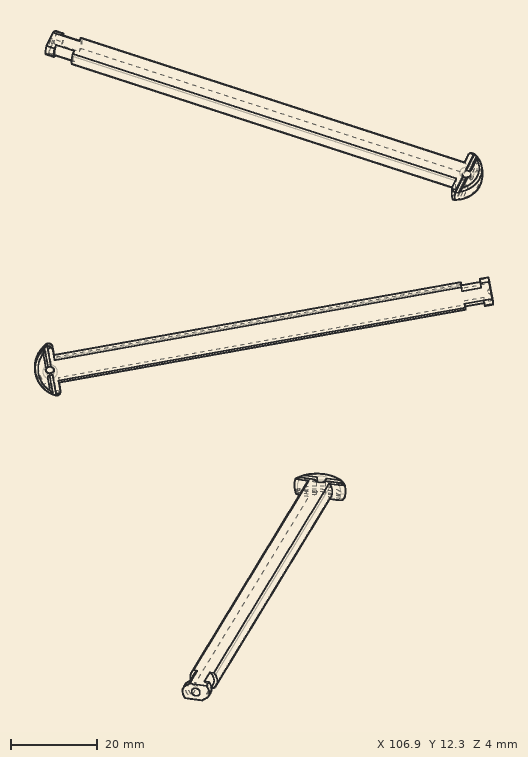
import cadquery as cq
import math

LENGTH = 106.88
THICKNESS = 4.0
HALF_THICKNESS = THICKNESS / 2

SHANK_HALF_WIDTH = 3.25
SHANK_FLAT_EDGE = 2.43
SHANK_BEVEL = 0.37
NECK_RADIUS = 2.5
LUG_LENGTH = 2.0
NECK_END = 6.5

LUG_RADIUS = SHANK_HALF_WIDTH
LUG_CREASE_Z = 0.12
LUG_SLOPE_EDGE = 2.9

HEAD_START = 101.85
HEAD_RADIUS = 12.25 / 2
CUTTER_WIDTH = 4 * HEAD_RADIUS
BASE_FILLET = 0.9
CROWN_CHAMFER = 0.5

GROOVE_START = 102.95
GROOVE_END = 104.15
GROOVE_FLOOR_END = 103.65
GROOVE_DEPTH = 0.6

HOLE_DIAMETER = 2.0
MOUTH_ROUND = 0.65
HOLE_X = 103.4
CENTRE_DIAMETER = 2.0
CENTRE_DEPTH = CENTRE_DIAMETER / 2


def flat_slab(start, end):
    """Slab between the two flats, wide enough to cover the head."""
    slab = cq.Workplane("XY").box(end - start, CUTTER_WIDTH, THICKNESS, centered=(False, True, True))
    return slab.translate((start, 0, 0))


def flatted_bar(radius, start, end):
    """Round bar along X, trimmed by the two flats."""
    bar = cq.Workplane("YZ").workplane(offset=start).circle(radius).extrude(end - start)
    return bar.intersect(flat_slab(start, end))


def shank():
    """Flat bar with round sides, bevelled where the sides meet the flats."""
    bevel_y = SHANK_FLAT_EDGE + SHANK_BEVEL
    bevel_z = HALF_THICKNESS - SHANK_BEVEL
    profile = (
        cq.Workplane("YZ")
        .workplane(offset=NECK_END)
        .moveTo(-SHANK_FLAT_EDGE, HALF_THICKNESS)
        .lineTo(SHANK_FLAT_EDGE, HALF_THICKNESS)
        .lineTo(bevel_y, bevel_z)
        .threePointArc((SHANK_HALF_WIDTH, 0), (bevel_y, -bevel_z))
        .lineTo(SHANK_FLAT_EDGE, -HALF_THICKNESS)
        .lineTo(-SHANK_FLAT_EDGE, -HALF_THICKNESS)
        .lineTo(-bevel_y, -bevel_z)
        .threePointArc((-SHANK_HALF_WIDTH, 0), (-bevel_y, bevel_z))
        .close()
    )
    return profile.extrude(HEAD_START - NECK_END)


def lug():
    """Lug whose outline repeats after half a turn about X.

    Each side runs down a slope tangent to the neck, along a short flat and then round an arc.
    """
    tangent_y = math.sqrt(NECK_RADIUS**2 - HALF_THICKNESS**2)
    slope_end_z = HALF_THICKNESS - (LUG_SLOPE_EDGE - tangent_y) * tangent_y / HALF_THICKNESS
    crease_angle = math.asin(LUG_CREASE_Z / LUG_RADIUS)
    flat_angle = math.asin(HALF_THICKNESS / LUG_RADIUS)

    def arc_point(angle, side):
        return (side * LUG_RADIUS * math.cos(angle), -side * LUG_RADIUS * math.sin(angle))

    profile = cq.Workplane("YZ").moveTo(*arc_point(flat_angle, -1))
    for side in (1, -1):
        profile = (
            profile.lineTo(side * tangent_y, side * HALF_THICKNESS)
            .lineTo(side * LUG_SLOPE_EDGE, side * slope_end_z)
            .lineTo(*arc_point(-crease_angle, side))
            .threePointArc(arc_point((flat_angle - crease_angle) / 2, side), arc_point(flat_angle, side))
        )
    return profile.close().extrude(LUG_LENGTH)


def head():
    """Domed disc turned about X and trimmed by the two flats."""
    dome_height = LENGTH - GROOVE_START
    dome_radius = (HEAD_RADIUS**2 + dome_height**2) / (2 * dome_height)
    middle_angle = math.asin(HEAD_RADIUS / dome_radius) / 2
    dome_middle = (
        LENGTH - dome_radius * (1 - math.cos(middle_angle)),
        dome_radius * math.sin(middle_angle),
    )
    disc = (
        cq.Workplane("XY")
        .moveTo(HEAD_START, 0)
        .lineTo(HEAD_START, HEAD_RADIUS - BASE_FILLET)
        .radiusArc((HEAD_START + BASE_FILLET, HEAD_RADIUS), BASE_FILLET)
        .lineTo(GROOVE_START, HEAD_RADIUS)
        .threePointArc(dome_middle, (LENGTH, 0))
        .close()
        .revolve(360, (0, 0, 0), (1, 0, 0))
    )
    trimmed = disc.intersect(flat_slab(HEAD_START, LENGTH))
    crown_edges = cq.selectors.BoxSelector(
        (GROOVE_END, -HEAD_RADIUS, -THICKNESS),
        (LENGTH, HEAD_RADIUS, THICKNESS),
    )
    return trimmed.faces("|Z").edges(crown_edges).chamfer(CROWN_CHAMFER)


def cross_grooves():
    """Straight grooves across the top and bottom flats of the head."""
    floor_z = HALF_THICKNESS - GROOVE_DEPTH
    outline = [
        (GROOVE_START, HALF_THICKNESS),
        (GROOVE_START, floor_z),
        (GROOVE_FLOOR_END, floor_z),
        (GROOVE_END, HALF_THICKNESS),
    ]
    top = cq.Workplane("XZ").polyline(outline).close().extrude(CUTTER_WIDTH, both=True)
    return top.union(top.mirror("XY"))


def cross_hole():
    """Hole through the head from flat to flat, with rounded mouths."""
    hole_radius = HOLE_DIAMETER / 2
    mouth_radius = hole_radius + MOUTH_ROUND
    neck_z = HALF_THICKNESS - MOUTH_ROUND
    cutter = (
        cq.Workplane("XZ")
        .moveTo(0, HALF_THICKNESS)
        .lineTo(mouth_radius, HALF_THICKNESS)
        .radiusArc((hole_radius, neck_z), -MOUTH_ROUND)
        .lineTo(hole_radius, -neck_z)
        .radiusArc((mouth_radius, -HALF_THICKNESS), -MOUTH_ROUND)
        .lineTo(0, -HALF_THICKNESS)
        .close()
        .revolve(360, (0, 0, 0), (0, 1, 0))
    )
    return cutter.translate((HOLE_X, 0, 0))


def centre_mark():
    """Conical centre in the left end face."""
    profile = cq.Workplane("XY").polyline([(0, 0), (0, CENTRE_DIAMETER / 2), (CENTRE_DEPTH, 0)]).close()
    return profile.revolve(360, (0, 0, 0), (1, 0, 0))


neck = flatted_bar(NECK_RADIUS, LUG_LENGTH, NECK_END)
result = lug().union(neck).union(shank()).union(head())
result = result.cut(cross_grooves()).cut(cross_hole()).cut(centre_mark())